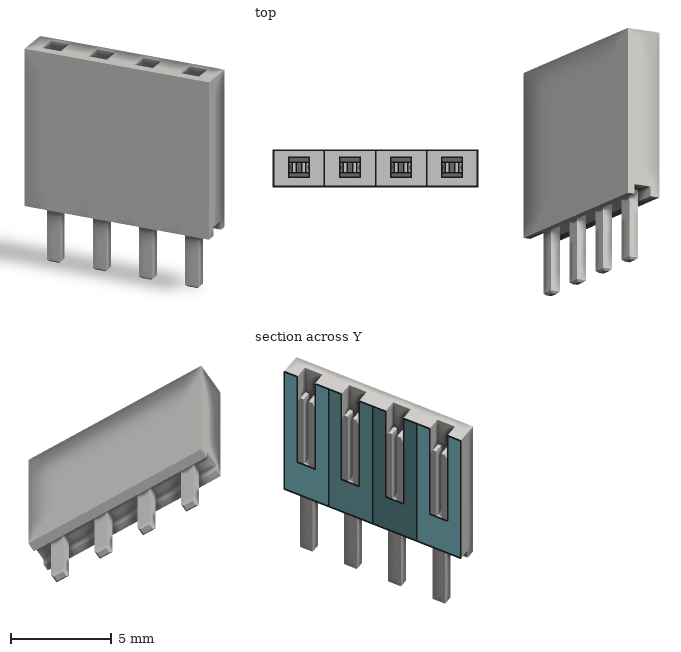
import cadquery as cq

total_height = 11.6
contact_count = 4
pitch = 2.54
first_x = -pitch * (contact_count - 1) / 2

housing_depth = 1.82
housing_height = 8.5
housing_bottom = total_height - housing_height

slot_width = 0.9
slot_height = 0.5
slot_y = 0.07
slot_roof = housing_bottom + slot_height

cavity_width = 1.01
cavity_length = 1.0
cavity_y = 0.06
cavity_depth = 5.8
cavity_floor = total_height - cavity_depth

contact_y = 0.05
contact_thickness = 0.51
pin_width = 0.74
tip_chamfer = 0.1

fork_top_depth = 1.39
fork_top = total_height - fork_top_depth
prong_gap = 0.29
bevel_height = 0.28
bevel_width = 0.16


def box_between(width, length, y, z_low, z_high):
    """Upright box centred at X = 0 and the given Y, between two heights."""
    return cq.Workplane("XY", origin=(0, y, z_low)).rect(width, length).extrude(z_high - z_low)


def make_housing():
    """Housing segment with a contact cavity, a pin passage and an underside slot."""
    block = box_between(pitch, housing_depth, 0, housing_bottom, total_height)
    slot = box_between(pitch, slot_width, slot_y, housing_bottom, slot_roof)
    cavity = box_between(cavity_width, cavity_length, cavity_y, cavity_floor, total_height)
    pin_passage = box_between(pin_width, contact_thickness, contact_y, slot_roof, cavity_floor)
    return block.cut(slot).cut(cavity).cut(pin_passage)


def make_fork():
    """Two prongs against the cavity walls, bevelled along their outer top edges."""
    blank = box_between(cavity_width, contact_thickness, contact_y, cavity_floor, fork_top)
    outer_edges = blank.faces(">Z").edges("|Y")
    bevelled = outer_edges.chamfer(bevel_height, bevel_width)
    gap = box_between(prong_gap, contact_thickness, contact_y, cavity_floor, fork_top)
    return bevelled.cut(gap)


def make_contact():
    """Rectangular pin with a bevelled lower tip, joined to the fork above it."""
    pin = box_between(pin_width, contact_thickness, contact_y, 0, cavity_floor)
    pin = pin.faces("<Z").chamfer(tip_chamfer)
    return pin.union(make_fork())


housing = make_housing()
contact = make_contact()

bodies = []
for index in range(contact_count):
    offset = cq.Vector(first_x + index * pitch, 0, 0)
    bodies.append(housing.val().translate(offset))
    bodies.append(contact.val().translate(offset))

result = cq.Compound.makeCompound(bodies)